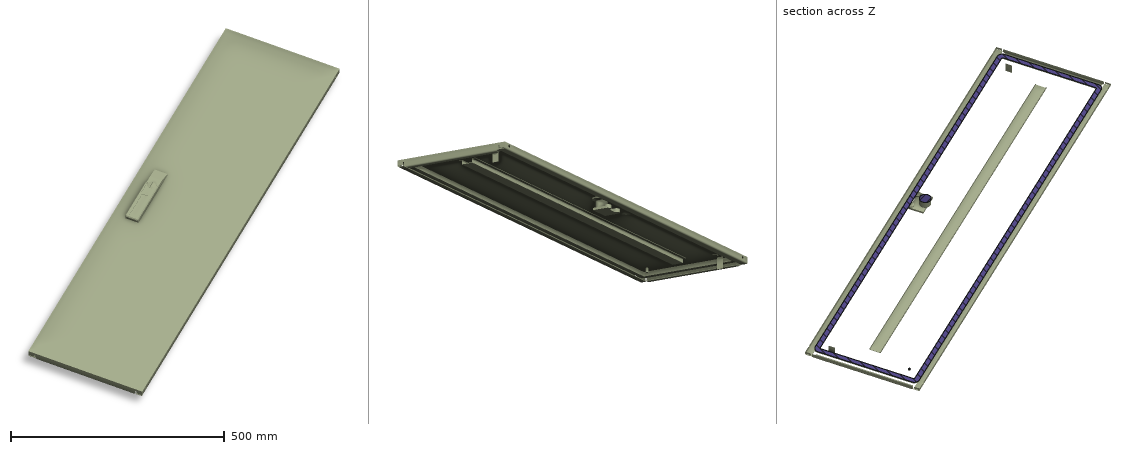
import cadquery as cq

door_width = 295.0
door_length = 1096.0
half_width = door_width / 2
half_length = door_length / 2
total_height = 46.0
handle_height = 14.0
lowest_z = handle_height - total_height

sheet = 1.2
bend_radius = 3.0
side_depth = 16.0
side_lip = 16.0
end_depth = 20.0
end_lip = 13.0
miter = 7.0

slit_inset = 16.0
slit_width = 3.0
end_lip_inset = slit_inset + slit_width / 2
end_relief_diameter = 4.0
end_relief_z = -8.2
side_relief_inset = 21.0
side_relief_diameter = 8.0
side_relief_z = -7.0

gasket_inset = 13.0
gasket_width = 13.0
gasket_thickness = 11.0
gasket_radius = 13.0
gasket_inner_radius = 2.0

rail_width = 45.0
rail_foot = 9.3
rail_length = 951.0
rail_height = 11.0

bracket_x = 50.0 - half_width
bracket_width = 16.0
bracket_foot = 22.0
bracket_end_inset = 41.0
bracket_hole_diameter = 4.0
stud_inset_x = 49.0
stud_inset_y = 50.0
stud_diameter = 7.0
stud_length = 11.0

lock_x = 50.0 - half_width
lock_y = 27.0
handle_width = 34.0
handle_top_y = 81.0
handle_bottom_y = -85.0
handle_corner = 4.0
waist_width = 31.0
base_height = 10.0
ramp_low = 3.0
ramp_end_y = 53.0
grip_top_y = 31.0
grip_edge = 2.0
cylinder_diameter = 21.0
cylinder_dome = 2.0
key_slot_width = 2.0
key_slot_depth = 3.0
insert_width = 23.0
insert_bottom_y = -4.0
insert_depth = 1.0
label_width = 15.0
label_length = 70.0
label_top_y = -8.0

back_plate_width = 28.0
back_plate_top_y = 59.0
back_plate_bottom_y = -96.0
back_plate_thickness = 3.0
shaft_diameter = 18.0
hub_diameter = 28.0
cam_top = -23.0
cam_plate_top = -26.0
cam_length = 55.0
cam_right_x = lock_x + 8.0
pin_diameter = 16.0
pin_x = 22.0 - half_width
pin_spacing = cam_length - pin_diameter


def block(x0, x1, y0, y1, z0, z1):
    """Box between two opposite corners."""
    return cq.Workplane("XY").box(x1 - x0, y1 - y0, z1 - z0, centered=False).translate((x0, y0, z0))


def flange(plane, offset, span, depth, lip):
    """Folded wall with an inward lip, its outer face at the negative coordinate `offset`."""
    inner_radius = bend_radius - sheet
    profile = (
        cq.Workplane(plane)
        .moveTo(offset, 0)
        .lineTo(offset, bend_radius - depth)
        .radiusArc((offset + bend_radius, -depth), -bend_radius)
        .lineTo(offset + lip, -depth)
        .lineTo(offset + lip, sheet - depth)
        .lineTo(offset + bend_radius, sheet - depth)
        .radiusArc((offset + sheet, bend_radius - depth), inner_radius)
        .lineTo(offset + sheet, 0)
        .close()
    )
    return profile.extrude(span / 2, both=True)


def end_flange():
    """Flange along the -Y end, with mitred lip corners."""
    span = door_width - 2 * end_lip_inset
    folded = flange("YZ", -half_length, span, end_depth, end_lip)
    for side in (-1, 1):
        tip = side * span / 2
        corner = (
            cq.Workplane("XZ", origin=(0, -half_length - sheet, 0))
            .polyline([(tip, bend_radius - end_depth), (tip, -end_depth), (tip - side * miter, -end_depth)])
            .close()
            .extrude(-end_lip - 2 * sheet)
        )
        folded = folded.cut(corner)
    return folded


def end_corner_wall(side):
    """Wall that closes the -Y end between a side flange and the relief slit."""
    outer = side * half_width
    inner = side * (half_width - slit_inset + slit_width / 2)
    wall_bottom = bend_radius - side_depth
    wall = block(min(outer, inner), max(outer, inner), -half_length, sheet - half_length, wall_bottom, 0)
    bridge_inner = side * (half_width - end_lip_inset)
    bridge = block(
        min(outer, bridge_inner), max(outer, bridge_inner),
        -half_length, sheet - half_length, end_relief_z, 0,
    )
    return wall.union(bridge)


def end_relief_hole(side):
    """Round relief at the top of a corner slit."""
    return (
        cq.Workplane("XZ", origin=(side * (half_width - slit_inset), -half_length, end_relief_z))
        .circle(end_relief_diameter / 2)
        .extrude(-sheet)
    )


def door_end():
    """Everything folded down along the -Y end."""
    end = end_flange()
    for side in (-1, 1):
        end = end.union(end_corner_wall(side))
        end = end.cut(end_relief_hole(side))
    return end


def door_side():
    """Flange along the -X side with its two relief holes."""
    side = flange("XZ", -half_width, door_length, side_depth, side_lip)
    reliefs = (
        cq.Workplane("YZ", origin=(-half_width, 0, side_relief_z))
        .pushPoints([(end * (half_length - side_relief_inset), 0) for end in (-1, 1)])
        .circle(side_relief_diameter / 2)
        .extrude(sheet)
    )
    return side.cut(reliefs)


def stiffener():
    """Hat-section rail along Y, its two feet on the underside of the sheet."""
    half = rail_width / 2
    inner = half - rail_foot
    crown = -sheet - rail_height
    outline = [
        (-half, -sheet), (-inner, -sheet), (-inner, crown + sheet), (inner, crown + sheet),
        (inner, -sheet), (half, -sheet), (half, -2 * sheet), (inner + sheet, -2 * sheet),
        (inner + sheet, crown), (-inner - sheet, crown), (-inner - sheet, -2 * sheet), (-half, -2 * sheet),
    ]
    return cq.Workplane("XZ").polyline(outline).close().extrude(rail_length / 2, both=True)


def angle_bracket():
    """Bracket near the -Y end: a drilled foot on the sheet and a thin plate pointing down."""
    left = bracket_x - bracket_width / 2
    right = bracket_x + bracket_width / 2
    outer = bracket_end_inset - half_length
    foot = block(left, right, outer, outer + bracket_foot, -2 * sheet, -sheet)
    hole = (
        cq.Workplane("XY", origin=(bracket_x, outer + bracket_foot / 2, -2 * sheet))
        .circle(bracket_hole_diameter / 2)
        .extrude(sheet)
    )
    plate = block(left, right, outer, outer + sheet, lowest_z, -sheet)
    return foot.cut(hole).union(plate)


def earth_stud():
    return (
        cq.Workplane("XY", origin=(half_width - stud_inset_x, stud_inset_y - half_length, -sheet))
        .circle(stud_diameter / 2)
        .extrude(-stud_length)
    )


def lock_shaft(diameter, z0, z1):
    """Cylinder on the lock axis."""
    return cq.Workplane("XY", origin=(lock_x, lock_y, z0)).circle(diameter / 2).extrude(z1 - z0)


def make_door():
    door = block(-half_width, half_width, -half_length, half_length, -sheet, 0)
    side = door_side()
    end = door_end()
    bracket = angle_bracket()
    door = door.union(side).union(side.mirror("YZ"))
    door = door.union(end).union(end.mirror("XZ"))
    door = door.union(stiffener())
    door = door.union(bracket).union(bracket.mirror("XZ"))
    door = door.union(earth_stud())
    return door.cut(lock_shaft(shaft_diameter, -sheet, 0))


def make_gasket():
    """Closed foam ring against the underside of the sheet."""
    def rounded_slab(inset, radius):
        return (
            cq.Workplane("XY", origin=(0, 0, -sheet))
            .rect(door_width - 2 * inset, door_length - 2 * inset)
            .extrude(-gasket_thickness)
            .edges("|Z")
            .fillet(radius)
        )

    outer = rounded_slab(gasket_inset, gasket_radius)
    return outer.cut(rounded_slab(gasket_inset + gasket_width, gasket_inner_radius))


def handle_base():
    """Escutcheon on the door: side walls drafted inwards, ramp at the +Y end, grip seat on top."""
    foot_half = handle_width / 2
    top_half = waist_width / 2
    foot_end = handle_bottom_y + handle_corner
    side_profile = (
        cq.Workplane("YZ", origin=(lock_x, 0, 0))
        .polyline([
            (foot_end, 0), (handle_top_y, 0), (handle_top_y, ramp_low),
            (ramp_end_y, base_height), (foot_end, base_height),
        ])
        .close()
        .extrude(foot_half, both=True)
    )
    drafted = (
        cq.Workplane("XZ", origin=(lock_x, handle_top_y, 0))
        .polyline([
            (-foot_half, 0), (foot_half, 0), (top_half, base_height), (-top_half, base_height),
        ])
        .close()
        .extrude(handle_top_y - handle_bottom_y)
    )
    return side_profile.intersect(drafted)


def handle_grip():
    """Lever with bevelled rim, a lowered insert and a sunk label panel."""
    half = handle_width / 2
    grip = block(
        lock_x - half, lock_x + half, handle_bottom_y, grip_top_y, base_height, handle_height
    )
    grip = grip.edges("|Z and <Y").fillet(handle_corner)
    grip = grip.faces(">Z").edges().chamfer(grip_edge)
    insert = block(
        lock_x - insert_width / 2, lock_x + insert_width / 2,
        insert_bottom_y, grip_top_y, handle_height - insert_depth, handle_height,
    )
    label = block(
        lock_x - label_width / 2, lock_x + label_width / 2,
        label_top_y - label_length, label_top_y, handle_height - insert_depth, handle_height,
    )
    return grip.cut(insert).cut(label)


def key_cylinder():
    """Domed lock cylinder with a key slot along Y."""
    radius = cylinder_diameter / 2
    dome_radius = (radius**2 + cylinder_dome**2) / (2 * cylinder_dome)
    dome = cq.Workplane("XY", origin=(lock_x, lock_y, handle_height - dome_radius)).sphere(dome_radius)
    slot = block(
        lock_x - key_slot_width / 2, lock_x + key_slot_width / 2,
        lock_y - radius, lock_y + radius,
        handle_height - key_slot_depth, handle_height,
    )
    return lock_shaft(cylinder_diameter, 0, handle_height).intersect(dome).cut(slot)


def back_plate():
    """Mounting plate against the underside of the sheet, round at both ends."""
    length = back_plate_top_y - back_plate_bottom_y
    return (
        cq.Workplane("XY", origin=(lock_x, (back_plate_top_y + back_plate_bottom_y) / 2, -sheet))
        .slot2D(length, back_plate_width, 90)
        .extrude(-back_plate_thickness)
    )


def cam():
    """Cam plate on the hub, with two round pins at its -X edge."""
    half = cam_length / 2
    plate = block(pin_x, cam_right_x, lock_y - half, lock_y + half, lowest_z, cam_plate_top)
    pins = (
        cq.Workplane("XY", origin=(pin_x, lock_y, lowest_z))
        .pushPoints([(0, -pin_spacing / 2), (0, pin_spacing / 2)])
        .circle(pin_diameter / 2)
        .extrude(cam_top - lowest_z)
    )
    return plate.union(pins).union(lock_shaft(hub_diameter, cam_plate_top, -sheet))


def make_lock():
    """Handle, key cylinder, shaft and cam as one body."""
    lock = handle_base().union(handle_grip())
    lock = lock.cut(lock_shaft(cylinder_diameter, 0, handle_height)).union(key_cylinder())
    return lock.union(lock_shaft(shaft_diameter, -sheet, 0)).union(back_plate()).union(cam())


door = make_door()
gasket = make_gasket()
lock = make_lock()

result = cq.Compound.makeCompound([door.solids().val(), gasket.solids().val(), lock.solids().val()])